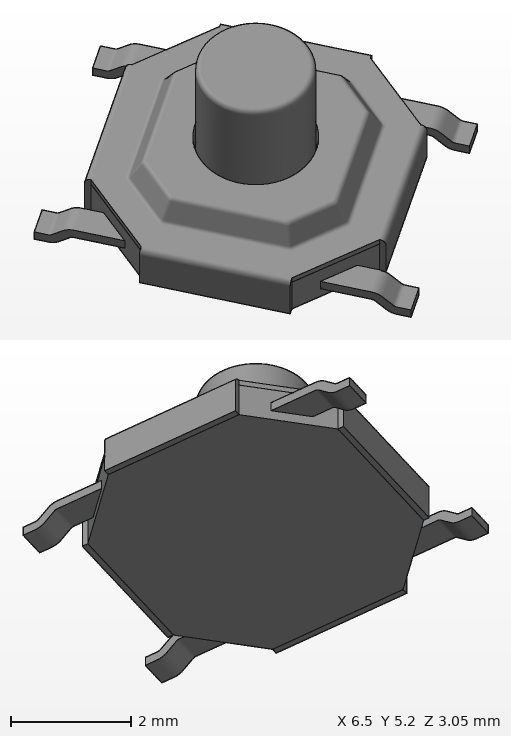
import cadquery as cq
import math

lead_span = 6.5
cover_width = 5.2
total_height = 3.05

standoff = 0.05
housing_height = 0.8
sheet = 0.11
flap_width = 2.6
dome_height = 0.395
dome_half_width = 1.9
dome_half_side = 1.11
dome_draft = 30.0
dome_round = 0.1
dome_foot_round = 0.08

button_radius = 1.0
button_round = 0.09
button_clearance = 0.045

lead_width = 0.5
lead_thickness = 0.19
lead_pitch = 3.705
lead_rise = 0.255
foot_length = 0.24
bend_radius = 0.1
bend_angle = math.radians(40.0)

core_half_width = cover_width / 2 - sheet
cover_top = standoff + housing_height
base_top = cover_top - sheet
dome_top = cover_top + dome_height


def octagon_prism(half_width, half_side, bottom, height, taper=0.0):
    """Prism on a square with equally cut corners, optionally drawn in by taper degrees."""
    corners = [
        (half_width, -half_side),
        (half_width, half_side),
        (half_side, half_width),
        (-half_side, half_width),
        (-half_width, half_side),
        (-half_width, -half_side),
        (-half_side, -half_width),
        (half_side, -half_width),
    ]
    outline = cq.Workplane("XY").workplane(offset=bottom).polyline(corners).close()
    return outline.extrude(height, taper=taper)


def make_lead():
    """Gull-wing lead pointing to +X, centred on Y = 0, with its inner end at X = 0."""
    outer_radius = bend_radius + lead_thickness
    sine = math.sin(bend_angle)
    cosine = math.cos(bend_angle)
    half_sine = math.sin(bend_angle / 2)
    half_cosine = math.cos(bend_angle / 2)

    slope = (lead_rise - (bend_radius + outer_radius) * (1 - cosine)) / sine
    bend_run = (bend_radius + outer_radius) * sine + slope * cosine
    tip_x = lead_span / 2
    foot_x = tip_x - foot_length
    shank_x = foot_x - bend_run
    foot_centre_z = outer_radius
    shank_centre_z = lead_rise - bend_radius

    def on_foot_bend(radius, sin_value, cos_value):
        return (foot_x - radius * sin_value, foot_centre_z - radius * cos_value)

    def on_shank_bend(radius, sin_value, cos_value):
        return (shank_x + radius * sin_value, shank_centre_z + radius * cos_value)

    profile = (
        cq.Workplane("XZ", origin=(0, lead_width / 2, 0))
        .moveTo(0, lead_rise)
        .lineTo(shank_x, lead_rise)
        .threePointArc(
            on_shank_bend(bend_radius, half_sine, half_cosine),
            on_shank_bend(bend_radius, sine, cosine),
        )
        .lineTo(*on_foot_bend(outer_radius, sine, cosine))
        .threePointArc(on_foot_bend(outer_radius, half_sine, half_cosine), (foot_x, 0))
        .lineTo(tip_x, 0)
        .lineTo(tip_x, lead_thickness)
        .lineTo(foot_x, lead_thickness)
        .threePointArc(
            on_foot_bend(bend_radius, half_sine, half_cosine),
            on_foot_bend(bend_radius, sine, cosine),
        )
        .lineTo(*on_shank_bend(outer_radius, sine, cosine))
        .threePointArc(
            on_shank_bend(outer_radius, half_sine, half_cosine),
            (shank_x, lead_rise + lead_thickness),
        )
        .lineTo(0, lead_rise + lead_thickness)
        .close()
    )
    return profile.extrude(lead_width)


def make_base():
    """Octagonal base block with the four leads moulded into it."""
    base = octagon_prism(core_half_width, flap_width / 2, standoff, base_top - standoff)
    lead = make_lead()
    for turn in (0, 180):
        for side in (-1, 1):
            placed = lead.rotate((0, 0, 0), (0, 0, 1), turn).translate((0, side * lead_pitch / 2, 0))
            base = base.union(placed)
    return base


def make_flap():
    """Flap on the +X side, its top rounded over like a sheet bend."""
    outer_x = cover_width / 2
    return (
        cq.Workplane("XZ", origin=(0, flap_width / 2, 0))
        .moveTo(core_half_width, standoff)
        .lineTo(outer_x, standoff)
        .lineTo(outer_x, base_top)
        .radiusArc((core_half_width, cover_top), -sheet)
        .close()
        .extrude(flap_width)
    )


def make_dome():
    """Raised centre of the cover, rounded along its corners and top edge."""
    dome = octagon_prism(dome_half_width, dome_half_side, cover_top, dome_height, dome_draft)
    return dome.edges("not #Z").fillet(dome_round).faces(">Z").edges().fillet(dome_round)


def make_cover():
    """Sheet cover: octagonal plate, four flaps, raised dome and button hole."""
    cover = octagon_prism(core_half_width, flap_width / 2, base_top, sheet)
    cover = cover.union(make_dome())

    plate_top = cover.faces("|Z").faces(">Z[-2]")
    dome_foot = plate_top.val().innerWires()[0].Edges()
    cover = cover.newObject(dome_foot).fillet(dome_foot_round)

    for turn in (0, 90, 180, 270):
        cover = cover.union(make_flap().rotate((0, 0, 0), (0, 0, 1), turn))

    hole = (
        cq.Workplane("XY", origin=(0, 0, base_top))
        .circle(button_radius + button_clearance)
        .extrude(dome_top - base_top)
    )
    return cover.cut(hole)


def make_button():
    """Round button standing on the base and passing through the cover."""
    return (
        cq.Workplane("XY", origin=(0, 0, base_top))
        .circle(button_radius)
        .extrude(total_height - base_top)
        .faces(">Z")
        .edges()
        .fillet(button_round)
    )


base = make_base()
cover = make_cover()
button = make_button()

result = cq.Compound.makeCompound([base.val(), cover.val(), button.val()])